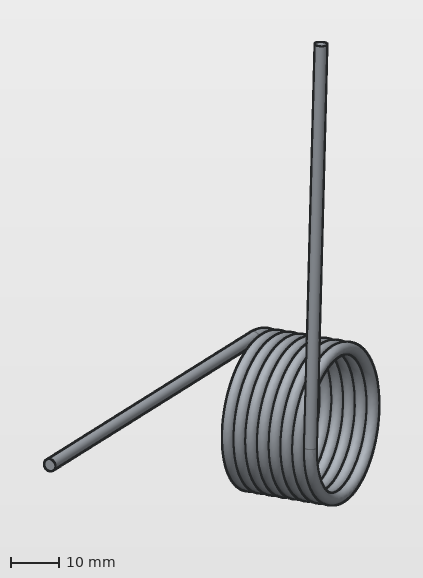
import cadquery as cq
import math

outer_size = 106.0
coil_outer_diameter = 34.1
coil_inner_diameter = 28.7
coil_gap = 0.01
turns = 7.75

wire_diameter = (coil_outer_diameter - coil_inner_diameter) / 2
wire_radius = wire_diameter / 2
coil_radius = coil_outer_diameter / 2 - wire_radius
pitch = wire_diameter + coil_gap
coil_length = pitch * turns
helix_angle = math.atan(pitch / (2 * math.pi * coil_radius))

axial = math.sin(helix_angle)
tangential = math.cos(helix_angle)

arm_reach = outer_size - coil_outer_diameter / 2 - wire_radius * axial
arm_length = arm_reach / tangential


def make_coil():
    """Sweep the round wire along the helix, starting at the top of the coil."""
    helix = cq.Wire.makeHelix(pitch, coil_length, coil_radius, lefthand=True)
    section = cq.Plane(
        origin=(coil_radius, 0, 0), xDir=(1, 0, 0), normal=(0, -tangential, axial)
    )
    coil = cq.Workplane(section).circle(wire_radius).sweep(cq.Workplane(helix), isFrenet=True)
    coil_frame = cq.Plane(origin=(0, 0, 0), xDir=(0, 0, 1), normal=(1, 0, 0))
    return coil.val().moved(cq.Location(coil_frame))


def make_arm(start, direction):
    """Straight wire continuing the helix along its end tangent."""
    return cq.Solid.makeCylinder(
        wire_radius, arm_length, cq.Vector(*start), cq.Vector(*direction)
    )


coil = make_coil()
front_arm = make_arm((0, 0, coil_radius), (-axial, -tangential, 0))
upright_arm = make_arm((coil_length, -coil_radius, 0), (axial, 0, tangential))

result = cq.Workplane(coil).union(cq.Workplane(front_arm)).union(cq.Workplane(upright_arm))